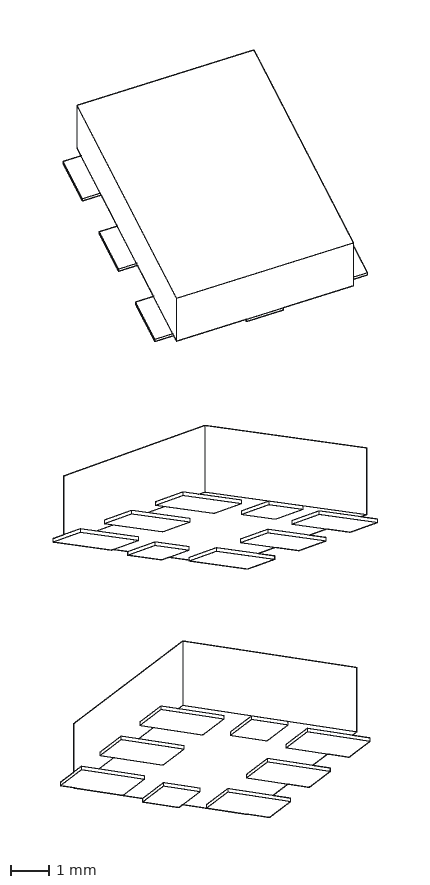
import cadquery as cq

body_length = 7.0
overall_width = 6.01
overall_height = 1.9

pad_thickness = 0.1
lead_width = 1.36
lead_length = 1.805
lead_pitch = 2.55
lead_overhang = 0.505
leads_per_side = 3

end_pad_width = 1.05
end_pad_length = 1.36

body_width = overall_width - 2 * lead_overhang
body_height = overall_height - pad_thickness


def make_housing():
    """Plain block resting on top of all the terminals."""
    return (
        cq.Workplane("XY")
        .workplane(offset=pad_thickness)
        .rect(body_length, body_width)
        .extrude(body_height)
    )


def make_pad(length_x, length_y, center_x, center_y):
    """Flat terminal standing on the base plane."""
    return (
        cq.Workplane("XY")
        .center(center_x, center_y)
        .rect(length_x, length_y)
        .extrude(pad_thickness)
    )


def make_leads():
    """Rows of leads that stick out beyond both long sides of the body."""
    center_y = (overall_width - lead_length) / 2
    middle_index = (leads_per_side - 1) / 2
    leads = []
    for side in (-1, 1):
        for index in range(leads_per_side):
            center_x = (index - middle_index) * lead_pitch
            leads.append(make_pad(lead_width, lead_length, center_x, side * center_y))
    return leads


def make_end_pads():
    """One pad at each end, centred across the body width."""
    center_x = (body_length - end_pad_length) / 2
    return [make_pad(end_pad_length, end_pad_width, side * center_x, 0) for side in (-1, 1)]


housing = make_housing()
leads = make_leads()
end_pads = make_end_pads()

result = cq.Compound.makeCompound(
    [housing.val()]
    + [lead.val() for lead in leads]
    + [end_pad.val() for end_pad in end_pads]
)